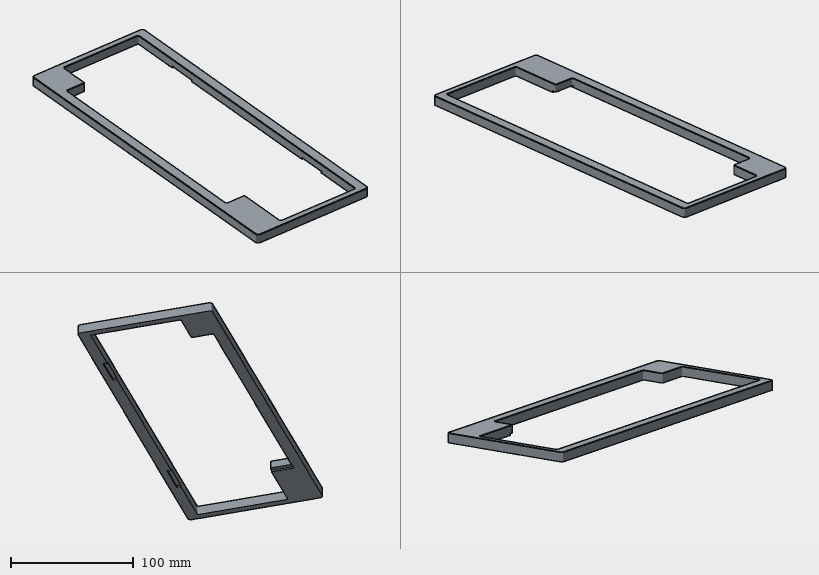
import cadquery as cq

length = 299.3
width = 115.2
height = 8.5
outer_corner_radius = 3.0
rim_chamfer = 0.48

side_bar = 6.0
long_bar = 9.5
window_corner_diameter = 2.9

pad_depth = 28.5
left_pad_length = 34.5
right_pad_length = 53.5

relief_height = 1.5
relief_depth = 3.5
rear_relief_length = 25.7
rear_relief_offset = 86.0

left = -length / 2
right = length / 2
front = -width / 2
rear = width / 2
bottom = -height / 2


def frame_blank():
    """Plain plate with rounded outer corners."""
    return cq.Workplane("XY").box(length, width, height).edges("|Z").fillet(outer_corner_radius)


def window():
    """Opening with a wide rear part and a narrower front part between the pads."""
    outline = [
        (left + left_pad_length, front + long_bar),
        (right - right_pad_length, front + long_bar),
        (right - right_pad_length, front + pad_depth),
        (right - side_bar, front + pad_depth),
        (right - side_bar, rear - long_bar),
        (left + side_bar, rear - long_bar),
        (left + side_bar, front + pad_depth),
        (left + left_pad_length, front + pad_depth),
    ]
    opening = cq.Workplane("XY", origin=(0, 0, bottom)).polyline(outline).close().extrude(height)
    return opening.edges("|Z").fillet(window_corner_diameter / 2)


def underside_relief(x, y, x_size, y_size):
    """Shallow rectangular cutter rising from the underside, centred on (x, y)."""
    footprint = cq.Workplane("XY", origin=(x, y, bottom)).rect(x_size, y_size)
    return footprint.extrude(relief_height)


frame = frame_blank().cut(window())

frame = frame.faces(">Z").edges().chamfer(rim_chamfer)

for x in (-rear_relief_offset, rear_relief_offset):
    frame = frame.cut(underside_relief(x, rear - long_bar, rear_relief_length, 2 * relief_depth))

pad_wall_x = right - right_pad_length
pad_wall_length = pad_depth - long_bar
pad_wall_y = front + long_bar + pad_wall_length / 2
frame = frame.cut(underside_relief(pad_wall_x, pad_wall_y, 2 * relief_depth, pad_wall_length))

result = frame